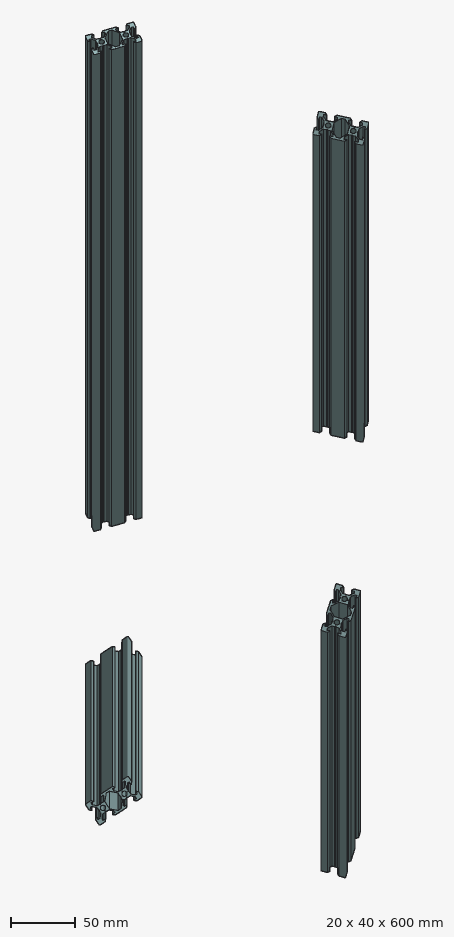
import cadquery as cq
import math

length = 600.0
module = length / 30
half = module / 2
corner_radius = 0.5

mouth_half = 4.6
throat_half = 3.1
inner_half = 5.5
lip_thickness = 2.0
core_half = 3.9
web_thickness = 1.5
bore_diameter = 4.0

groove_half = 0.5
groove_depth = 0.5

cavity_core_flat_half = 3.4
cavity_wall_flat_half = 1.45

web_offset = web_thickness / math.sqrt(2)
floor_half = core_half - web_offset
lip_bottom = half - lip_thickness


def symmetric_prism(right_side):
    """Extrude an outline given by its right-hand points, mirrored across u = 0."""
    left_side = [(-u, v) for u, v in reversed(right_side) if u > 0]
    return cq.Workplane("XY").polyline(right_side + left_side).close().extrude(length)


def slot():
    """V-slot on the +Y side of a module centred on the origin, with a 45 degree mouth."""
    return symmetric_prism([
        (0, core_half - groove_depth),
        (groove_half, core_half),
        (floor_half, core_half),
        (inner_half, inner_half + web_offset),
        (inner_half, lip_bottom),
        (throat_half, lip_bottom),
        (throat_half, half - (mouth_half - throat_half)),
        (mouth_half, half),
    ])


def central_cavity():
    """Eight-sided hollow between the two cores, bounded by the webs and the side walls."""
    core_y = half - core_half
    return symmetric_prism([
        (cavity_core_flat_half, -core_y),
        (lip_bottom, -cavity_wall_flat_half),
        (lip_bottom, cavity_wall_flat_half),
        (cavity_core_flat_half, core_y),
    ])


def module_voids():
    """Core bore, slots on both X faces and slot on the +Y face of a module at the origin."""
    voids = [cq.Workplane("XY").circle(bore_diameter / 2).extrude(length)]
    for angle in (-90, 0, 90):
        voids.append(slot().rotate((0, 0, 0), (0, 0, 1), angle))
    return voids


body = cq.Workplane("XY").rect(module, 2 * module).extrude(length)
body = body.edges("|Z").fillet(corner_radius)
body = body.cut(central_cavity())

for turn in (0, 180):
    for void in module_voids():
        placed_void = void.translate((0, half, 0)).rotate((0, 0, 0), (0, 0, 1), turn)
        body = body.cut(placed_void)

result = body